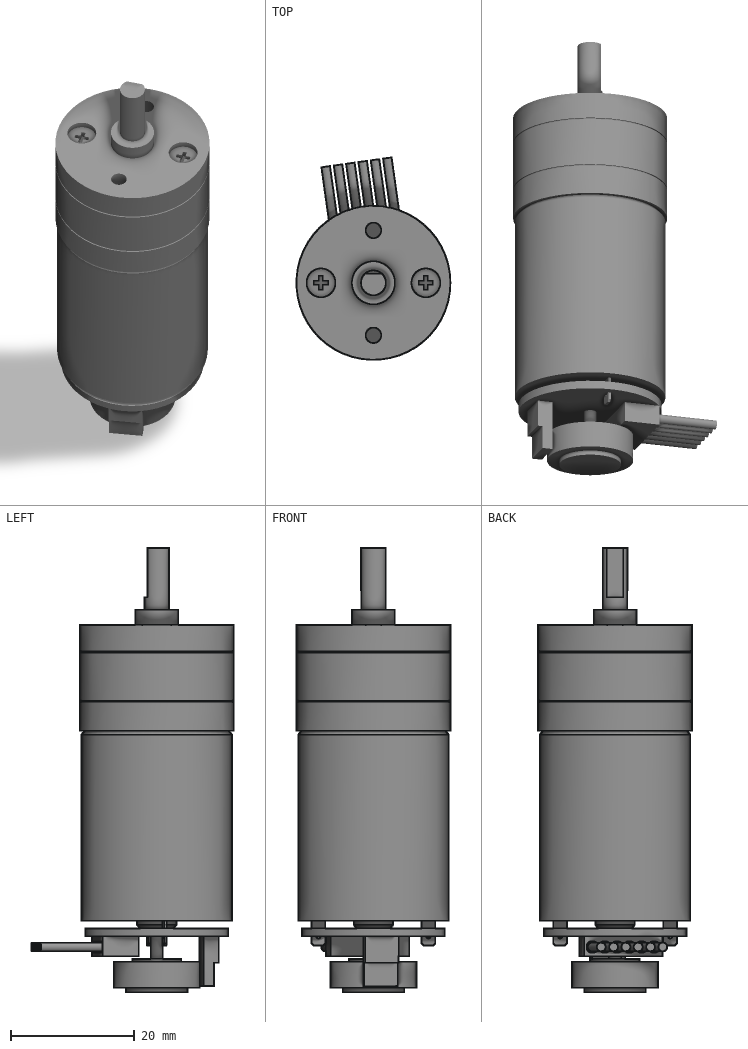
import cadquery as cq

overall_height = 72.0

shaft_dia = 4.0
shaft_length = 10.0
shaft_flat_length = 8.0
shaft_flat_offset = 1.5
boss_dia = 7.0
boss_height = 2.45

gearbox_dia = 25.0
gearbox_height = 17.2
groove_depth = 0.2
groove_height = 0.2
front_plate_height = 4.4
ring_gear_height = 8.0
face_hole_radius = 8.5
mount_hole_dia = 2.5
screw_pocket_dia = 4.7
screw_pocket_depth = 1.0
cross_length = 2.3
cross_width = 0.65
cross_depth = 1.0

can_dia = 24.4
can_height = 30.75
can_shoulder_dia = 23.4
can_shoulder_height = 0.6
bearing_dia = 6.4
bearing_tip_dia = 5.5
bearing_straight = 0.65
board_gap = 1.2

encoder_angle = 8.0
board_dia = 23.2
board_thickness = 1.3
terminal_spacing = 18.0
terminal_width = 2.2
terminal_thickness = 0.4
terminal_drop = 1.5
terminal_chamfer = 0.35
terminal_hole_dia = 0.65
connector_width = 12.8
connector_depth = 5.9
connector_height = 3.25
connector_y = 6.8
wire_count = 6
wire_pitch = 2.0
wire_dia = 1.45
wire_socket_dia = 1.9
wire_socket_depth = 0.7
wire_end_y = 19.7
wire_z = 7.35
sensor_width = 5.5
sensor_back_y = -7.35
sensor_base_depth = 2.45
sensor_base_height = 4.3
sensor_tip_depth = 1.65
sensor_bottom_z = 1.0

rear_shaft_dia = 2.0
wheel_dia = 14.0
wheel_bottom_z = 0.7
wheel_thickness = 4.25
wheel_hub_dia = 8.0
wheel_hub_height = 0.4
wheel_rim_dia = 10.0

boss_top_z = overall_height - shaft_length
gearbox_top_z = boss_top_z - boss_height
gearbox_bottom_z = gearbox_top_z - gearbox_height
can_bottom_z = gearbox_bottom_z - can_height
board_top_z = can_bottom_z - board_gap
board_bottom_z = board_top_z - board_thickness
wheel_top_z = wheel_bottom_z + wheel_thickness


def disc(dia, bottom_z, top_z):
    """Solid cylinder on the Z axis."""
    return cq.Workplane("XY").workplane(offset=bottom_z).circle(dia / 2).extrude(top_z - bottom_z)


def block(width, depth, center_y, bottom_z, top_z):
    """Box centred on X = 0."""
    base = cq.Workplane("XY").workplane(offset=bottom_z).center(0, center_y)
    return base.rect(width, depth).extrude(top_z - bottom_z)


def make_output_shaft():
    shaft = disc(shaft_dia, boss_top_z, overall_height)
    flat_cut = block(
        shaft_dia,
        shaft_dia,
        shaft_flat_offset + shaft_dia / 2,
        overall_height - shaft_flat_length,
        overall_height,
    )
    return shaft.cut(flat_cut).union(disc(boss_dia, gearbox_top_z, boss_top_z))


def make_gearbox():
    gearbox = disc(gearbox_dia, gearbox_bottom_z, gearbox_top_z)
    first_groove_z = gearbox_top_z - front_plate_height
    for groove_z in (first_groove_z, first_groove_z - ring_gear_height):
        lower_z = groove_z - groove_height / 2
        upper_z = groove_z + groove_height / 2
        core = disc(gearbox_dia - 2 * groove_depth, lower_z, upper_z)
        gearbox = gearbox.cut(disc(gearbox_dia, lower_z, upper_z).cut(core))

    face = cq.Workplane("XY").workplane(offset=gearbox_top_z)
    mount_points = [(0, face_hole_radius), (0, -face_hole_radius)]
    screw_points = [(face_hole_radius, 0), (-face_hole_radius, 0)]
    mount_holes = face.pushPoints(mount_points).circle(mount_hole_dia / 2).extrude(-front_plate_height)
    pockets = face.pushPoints(screw_points).circle(screw_pocket_dia / 2).extrude(-screw_pocket_depth)
    gearbox = gearbox.cut(mount_holes).cut(pockets)

    head = face.workplane(offset=-screw_pocket_depth).pushPoints(screw_points)
    for length_x, length_y in ((cross_length, cross_width), (cross_width, cross_length)):
        gearbox = gearbox.cut(head.rect(length_x, length_y).extrude(-cross_depth))
    return gearbox


def make_motor_can():
    return (
        cq.Workplane("XZ")
        .moveTo(0, gearbox_bottom_z)
        .lineTo(can_shoulder_dia / 2, gearbox_bottom_z)
        .lineTo(can_dia / 2, gearbox_bottom_z - can_shoulder_height)
        .lineTo(can_dia / 2, can_bottom_z)
        .lineTo(bearing_dia / 2, can_bottom_z)
        .lineTo(bearing_dia / 2, can_bottom_z - bearing_straight)
        .lineTo(bearing_tip_dia / 2, board_top_z)
        .lineTo(0, board_top_z)
        .close()
        .revolve(360, (0, 0, 0), (0, 1, 0))
    )


def make_terminal(center_x):
    """Flat tab from the can down through the board, with a solder hole."""
    bottom_z = board_bottom_z - terminal_drop
    tab = block(terminal_width, terminal_thickness, 0, bottom_z, can_bottom_z)
    tab = tab.faces("<Z").edges("|Y").chamfer(terminal_chamfer)
    hole = (
        cq.Workplane("XZ")
        .center(0, board_bottom_z)
        .circle(terminal_hole_dia / 2)
        .extrude(terminal_thickness, both=True)
    )
    return tab.cut(hole).translate((center_x, 0, 0))


def make_wire(wire_x):
    return (
        cq.Workplane("XZ", origin=(wire_x, wire_end_y, wire_z))
        .circle(wire_dia / 2)
        .extrude(wire_end_y - connector_y)
    )


def make_connector():
    back_y = connector_y + connector_depth / 2
    connector = block(
        connector_width,
        connector_depth,
        connector_y,
        board_bottom_z - connector_height,
        board_bottom_z,
    )
    for index in range(wire_count):
        wire_x = (index - (wire_count - 1) / 2) * wire_pitch
        back_face = cq.Workplane("XZ", origin=(wire_x, back_y, wire_z))
        socket = back_face.circle(wire_socket_dia / 2).extrude(wire_socket_depth)
        connector = connector.cut(socket).union(make_wire(wire_x))
    return connector


def make_sensor():
    base_bottom_z = board_bottom_z - sensor_base_height
    base_y = sensor_back_y - sensor_base_depth / 2
    tip_y = sensor_back_y - sensor_tip_depth / 2
    base = block(sensor_width, sensor_base_depth, base_y, base_bottom_z, board_bottom_z)
    return base.union(block(sensor_width, sensor_tip_depth, tip_y, sensor_bottom_z, base_bottom_z))


def make_encoder():
    encoder = disc(board_dia, board_bottom_z, board_top_z)
    for side in (-1, 1):
        encoder = encoder.union(make_terminal(side * terminal_spacing / 2))
    encoder = encoder.union(make_connector()).union(make_sensor())
    return encoder.rotate((0, 0, 0), (0, 0, 1), encoder_angle)


def make_magnet_wheel():
    wheel = disc(wheel_dia, wheel_bottom_z, wheel_top_z)
    hub = disc(wheel_hub_dia, wheel_top_z, wheel_top_z + wheel_hub_height)
    rim = disc(wheel_rim_dia, 0, wheel_bottom_z)
    rear_shaft = disc(rear_shaft_dia, wheel_top_z, board_bottom_z)
    return wheel.union(hub).union(rim).union(rear_shaft)


result = (
    make_output_shaft()
    .union(make_gearbox())
    .union(make_motor_can())
    .union(make_encoder())
    .union(make_magnet_wheel())
)